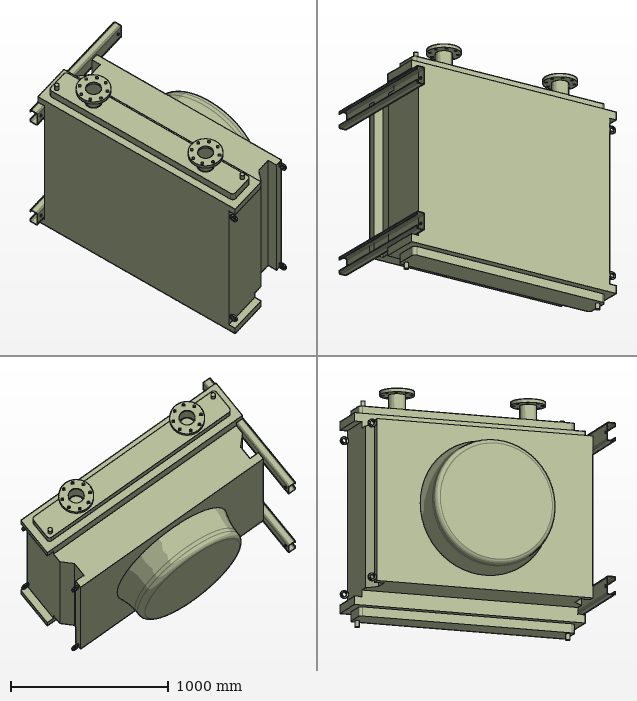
import cadquery as cq
import math


CORE_WIDTH = 1450.0
HEADER_WIDTH = 1550.0
HEADER_DEPTH = 278.0
HEADER_OUTER_Z = 623.0
HEADER_INNER_Z = 568.0
HALF_CORE = CORE_WIDTH / 2

TANK_DEPTH = 180.0
TANK_HEIGHT = 60.0
TANK_CORNER_RADIUS = 22.0
TANK_OUTER_Z = HEADER_OUTER_Z + TANK_HEIGHT

STUB_DIAMETER = 28.0
STUB_LENGTH = 39.0
STUB_X = 688.0
STUB_Y = 55.0

NOZZLE_X = 440.0
NOZZLE_HEIGHT = 131.0
PIPE_DIAMETER = 110
PIPE_BORE = 100.0
FLANGE_DIAMETER = 222.0
FLANGE_THICKNESS = 23.0
BOLT_CIRCLE = 181.0
BOLT_HOLE = 17.0
BOLT_COUNT = 8

SHROUD_HEIGHT = 1052.0
SHROUD_BACK_Y = 423.0
SHROUD_LIP = 53.0
GROOVE_DEPTH = 65.0
GROOVE_START_Y = 205.0

COWL_RADIUS = 406
COWL_BASE_RADIUS = 435.0
COWL_BAND_Y = 571.0
COWL_BAND_LENGTH = 27.0
COWL_CROWN_HEIGHT = 86.0
COWL_KNUCKLE_RADIUS = 39.0
COWL_TIP_Y = COWL_BAND_Y + COWL_BAND_LENGTH + COWL_CROWN_HEIGHT

RAIL_LENGTH = 895.0
RAIL_HEIGHT = 120.0
RAIL_DEPTH = 60.0
RAIL_LIP = 23.0
RAIL_THICKNESS = 5.0
RAIL_BEND_RADIUS = 11.0
RAIL_HOLE = 17.0
RAIL_HOLE_BACK_INSET = 30.0
RAIL_HOLE_FRONT_INSET = 40.0
RAIL_FRONT_Y = COWL_TIP_Y - RAIL_LENGTH

EYE_RADIUS = 25.0
EYE_HOLE = 28.0
EYE_REACH = 52.0
EYE_THICKNESS = 11.0
EYE_NECK_HEIGHT = 27.0
EYE_FRONT_Y = -122.0
EYE_BACK_Y = 401.0

MOUNT_Z = 500
MOUNT_LEVELS = (-MOUNT_Z, MOUNT_Z)


def make_core():
    """Core block with a wider header at the top and at the bottom."""
    core = cq.Workplane("XY").box(CORE_WIDTH, HEADER_DEPTH, 2 * HEADER_INNER_Z)
    header_height = HEADER_OUTER_Z - HEADER_INNER_Z
    for side in (-1, 1):
        header = cq.Workplane("XY").box(HEADER_WIDTH, HEADER_DEPTH, header_height)
        core = core.union(header.translate((0, 0, side * (HEADER_INNER_Z + header_height / 2))))
    return core


def make_tank():
    """Top tank with rounded corners and its two stubs."""
    tank = (
        cq.Workplane("XY", origin=(0, 0, HEADER_OUTER_Z))
        .rect(CORE_WIDTH, TANK_DEPTH)
        .extrude(TANK_HEIGHT)
        .edges("|Z")
        .fillet(TANK_CORNER_RADIUS)
    )
    stubs = (
        cq.Workplane("XY", origin=(0, 0, TANK_OUTER_Z))
        .pushPoints([(-STUB_X, -STUB_Y), (STUB_X, STUB_Y)])
        .circle(STUB_DIAMETER / 2)
        .extrude(STUB_LENGTH)
    )
    return tank.union(stubs)


def make_nozzle(x):
    """Flanged pipe standing on the top tank, bored through to the tank."""
    base = cq.Workplane("XY", origin=(x, 0, TANK_OUTER_Z))
    flange_base = cq.Workplane("XY", origin=(x, 0, TANK_OUTER_Z + NOZZLE_HEIGHT - FLANGE_THICKNESS))
    half_pitch_angle = 180 / BOLT_COUNT
    pipe = base.circle(PIPE_DIAMETER / 2).extrude(NOZZLE_HEIGHT)
    flange = flange_base.circle(FLANGE_DIAMETER / 2).extrude(FLANGE_THICKNESS)
    bolt_holes = (
        flange_base.polarArray(BOLT_CIRCLE / 2, half_pitch_angle, 360, BOLT_COUNT)
        .circle(BOLT_HOLE / 2)
        .extrude(FLANGE_THICKNESS)
    )
    bore = base.circle(PIPE_BORE / 2).extrude(NOZZLE_HEIGHT)
    return pipe.union(flange).cut(bolt_holes).cut(bore)


def make_shroud():
    """Shroud with a groove down each side, its front flank at 45 degrees."""
    waist = HALF_CORE - GROOVE_DEPTH
    lip_y = SHROUD_BACK_Y - SHROUD_LIP
    front_y = HEADER_DEPTH / 2
    right_side = [
        (HALF_CORE, front_y),
        (HALF_CORE, GROOVE_START_Y),
        (waist, GROOVE_START_Y + GROOVE_DEPTH),
        (waist, lip_y),
        (HALF_CORE, lip_y),
        (HALF_CORE, SHROUD_BACK_Y),
    ]
    left_side = [(-x, y) for x, y in reversed(right_side)]
    return (
        cq.Workplane("XY", origin=(0, 0, -SHROUD_HEIGHT / 2))
        .polyline(right_side + left_side)
        .close()
        .extrude(SHROUD_HEIGHT)
    )


def make_cowl():
    """Fan cowl turned about the Y axis."""
    band_end_y = COWL_BAND_Y + COWL_BAND_LENGTH

    knuckle_centre_radius = COWL_RADIUS - COWL_KNUCKLE_RADIUS
    crown_radius = (
        (knuckle_centre_radius**2 + COWL_CROWN_HEIGHT**2 - COWL_KNUCKLE_RADIUS**2)
        / (2 * (COWL_CROWN_HEIGHT - COWL_KNUCKLE_RADIUS))
    )
    crown_centre_y = COWL_TIP_Y - crown_radius
    join_angle = math.asin(knuckle_centre_radius / (crown_radius - COWL_KNUCKLE_RADIUS))
    join = (crown_radius * math.sin(join_angle), crown_centre_y + crown_radius * math.cos(join_angle))
    crown_middle = (
        crown_radius * math.sin(join_angle / 2),
        crown_centre_y + crown_radius * math.cos(join_angle / 2),
    )

    skirt_length = COWL_BAND_Y - SHROUD_BACK_Y
    flare = COWL_BASE_RADIUS - COWL_RADIUS
    skirt_radius = (skirt_length**2 + flare**2) / (2 * flare)
    half_sweep = math.asin(skirt_length / skirt_radius) / 2
    skirt_middle = (
        COWL_RADIUS + skirt_radius * (1 - math.cos(half_sweep)),
        COWL_BAND_Y - skirt_radius * math.sin(half_sweep),
    )
    return (
        cq.Workplane("XY")
        .moveTo(0, SHROUD_BACK_Y)
        .lineTo(COWL_BASE_RADIUS, SHROUD_BACK_Y)
        .threePointArc(skirt_middle, (COWL_RADIUS, COWL_BAND_Y))
        .lineTo(COWL_RADIUS, band_end_y)
        .tangentArcPoint(join, relative=False)
        .threePointArc(crown_middle, (0, COWL_TIP_Y))
        .close()
        .revolve(360, (0, 0, 0), (0, 1, 0))
    )


def make_radiator():
    """Core, tanks, nozzles, shroud and cowl as one body."""
    top_tank = make_tank()
    bottom_tank = top_tank.rotate((0, 0, 0), (1, 0, 0), 180)
    radiator = make_core().union(top_tank).union(bottom_tank)
    for x in (-NOZZLE_X, NOZZLE_X):
        radiator = radiator.union(make_nozzle(x))
    return radiator.union(make_shroud()).union(make_cowl())


def make_rail(z):
    """Lipped channel along Y with its web on the core side, opening to -X."""
    web_x = -HALF_CORE
    middle_x = web_x - RAIL_DEPTH / 2
    back_y = RAIL_FRONT_Y + RAIL_LENGTH
    inner_bend = RAIL_BEND_RADIUS - RAIL_THICKNESS

    outer = (
        cq.Workplane("XY")
        .box(RAIL_DEPTH, RAIL_LENGTH, RAIL_HEIGHT)
        .edges("|Y")
        .fillet(RAIL_BEND_RADIUS)
    )
    cavity = (
        cq.Workplane("XY")
        .box(RAIL_DEPTH - 2 * RAIL_THICKNESS, RAIL_LENGTH, RAIL_HEIGHT - 2 * RAIL_THICKNESS)
        .edges("|Y")
        .fillet(inner_bend)
    )
    mouth = (
        cq.Workplane("XY")
        .box(RAIL_DEPTH / 2, RAIL_LENGTH, RAIL_HEIGHT - 2 * RAIL_LIP)
        .translate((-RAIL_DEPTH / 4, 0, 0))
    )
    channel = (
        outer.cut(cavity).cut(mouth).translate((middle_x, RAIL_FRONT_Y + RAIL_LENGTH / 2, z))
    )
    holes = (
        cq.Workplane("YZ", origin=(web_x - RAIL_THICKNESS, 0, 0))
        .pushPoints([(RAIL_FRONT_Y + RAIL_HOLE_FRONT_INSET, z), (back_y - RAIL_HOLE_BACK_INSET, z)])
        .circle(RAIL_HOLE / 2)
        .extrude(RAIL_THICKNESS)
    )
    return channel.cut(holes)


def make_eye(y, z):
    """Flat ring on a short neck, standing on the +X side."""
    ring_x = HALF_CORE + EYE_REACH - EYE_RADIUS
    neck_length = ring_x - HALF_CORE
    plate = cq.Workplane("XZ", origin=(ring_x, y + EYE_THICKNESS / 2, z))
    neck = plate.center(-neck_length / 2, 0).rect(neck_length, EYE_NECK_HEIGHT).extrude(EYE_THICKNESS)
    ring = plate.circle(EYE_RADIUS).extrude(EYE_THICKNESS)
    hole = plate.circle(EYE_HOLE / 2).extrude(EYE_THICKNESS)
    return ring.union(neck).cut(hole)


radiator = make_radiator()
rails = [make_rail(z) for z in MOUNT_LEVELS]
eyes = [make_eye(y, z) for y in (EYE_FRONT_Y, EYE_BACK_Y) for z in MOUNT_LEVELS]

result = cq.Compound.makeCompound(
    [radiator.val(), *[rail.val() for rail in rails], *[eye.val() for eye in eyes]]
)